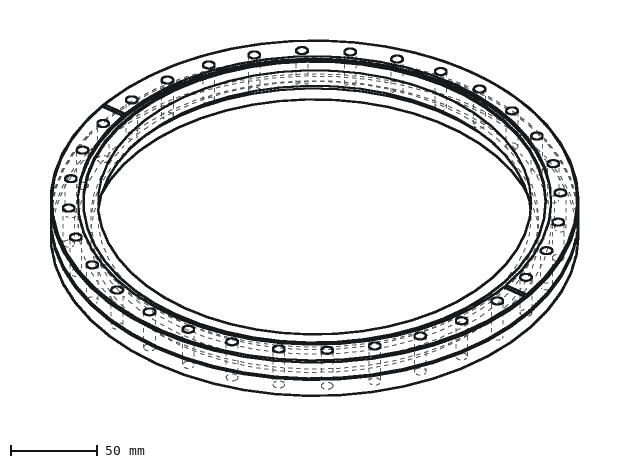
import cadquery as cq
import math

outer_radius = 152.5
thickness = 26.0
top_z = thickness / 2
bottom_z = -thickness / 2

rim_chamfer = 1.0
rim_groove_depth = 0.5
seat_radius = 136.5
seat_z = -5.0

bolt_count = 32
bolt_circle_radius = 142.0
bolt_hole_diameter = 6.7

leak_groove_count = 2
leak_groove_width = 2.0
leak_groove_depth = 0.75
leak_groove_radius = (leak_groove_width**2 / 4 + leak_groove_depth**2) / (2 * leak_groove_depth)
leak_groove_angle = 180 / bolt_count

bore_radius = 125.0
socket_radius = 129.2
socket_end_z = 0.3
sealing_face_z = 11.5
knife_tip_radius = 133.5
knife_root_radius = 133.2
knife_tip_z = 12.2
knife_slope_angle = 20
insert_edge_z = knife_tip_z - (seat_radius - knife_tip_radius) * math.tan(math.radians(knife_slope_angle))


def revolve_profile(points):
    """Turn a closed (radius, z) outline about the Z axis."""
    return cq.Workplane("XZ").polyline(points).close().revolve(360, (0, 0), (0, 1))


def leak_groove(angle):
    """Round-bottomed radial groove cutter, from the seat to the outside."""
    return (
        cq.Workplane("YZ", origin=(seat_radius - leak_groove_width, 0, 0))
        .center(0, top_z - leak_groove_depth + leak_groove_radius)
        .circle(leak_groove_radius)
        .extrude(outer_radius - seat_radius + 2 * leak_groove_width)
        .rotate((0, 0, 0), (0, 0, 1), angle)
    )


def make_ring():
    """Outer ring with the insert seat, rim groove, bolt holes and leak-check grooves."""
    ring = revolve_profile([
        (socket_radius, bottom_z),
        (outer_radius - rim_chamfer, bottom_z),
        (outer_radius, bottom_z + rim_chamfer),
        (outer_radius, -rim_groove_depth),
        (outer_radius - rim_groove_depth, 0),
        (outer_radius, rim_groove_depth),
        (outer_radius, top_z - rim_chamfer),
        (outer_radius - rim_chamfer, top_z),
        (seat_radius, top_z),
        (seat_radius, seat_z),
        (socket_radius, seat_z),
    ])
    bolt_holes = (
        cq.Workplane("XY", origin=(0, 0, bottom_z))
        .polarArray(bolt_circle_radius, 0, 360, bolt_count)
        .circle(bolt_hole_diameter / 2)
        .extrude(thickness)
    )
    ring = ring.cut(bolt_holes)
    for i in range(leak_groove_count):
        ring = ring.cut(leak_groove(leak_groove_angle + i * 360 / leak_groove_count))
    return ring


def make_insert():
    """Inner insert with the knife edge on top and the tube socket at the back."""
    return revolve_profile([
        (bore_radius, socket_end_z),
        (socket_radius, socket_end_z),
        (socket_radius, seat_z),
        (seat_radius, seat_z),
        (seat_radius, insert_edge_z),
        (knife_tip_radius, knife_tip_z),
        (knife_root_radius, sealing_face_z),
        (bore_radius, sealing_face_z),
    ])


ring = make_ring()
insert = make_insert()

result = cq.Compound.makeCompound([ring.solids().val(), insert.val()])